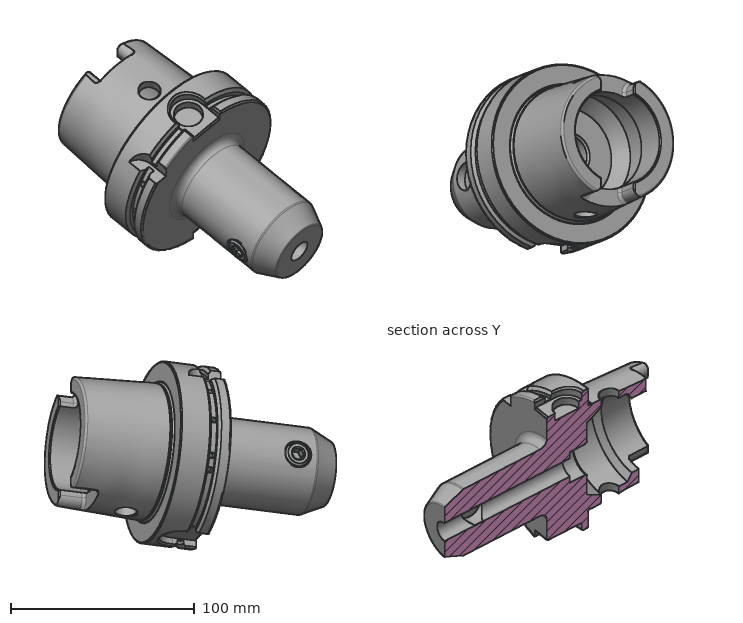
import cadquery as cq
import math


taper_length = 50.0
taper_front_radius = 35.4
taper_front_round = 1.3
neck_width = 2.2
neck_radius = 37.3
neck_front_x = -1.6
neck_back_x = -0.8
neck_start_radius = 37.7
face_relief_depth = 0.4
face_relief_deepest_radius = 38.4
face_relief_radius = 39.0

flange_radius = 50.0
flange_width = 29.0
flange_chamfer = 0.7
flange_rear_round = 0.9
groove_centre = 19.85
groove_mouth_half = 3.35
groove_floor_half = 1.85
groove_wall_radius = 48.0
groove_floor_radius = 46.0

tip_x = 100.0
shaft_radius = 24.0
shaft_root_radius = 4.7
nose_start_x = 87.0
nose_angle = 25.0
nose_edge_round = 0.8
nose_corner_round = 2.0

mouth_radius = 26.5
mouth_chamfer = 0.7
lip_end_x = -30.0
undercut_radius = 31.5
undercut_cone_angle = 60.0
undercut_end_x = -9.3
cavity_floor_radius = 25.6
cavity_floor_cone_angle = 30.0
seat_radius = 10.8
seat_chamfer = 1.2
seat_depth = 12.0
through_radius = 6.3

slot_half_width = 10.0
slot_corner_radius = 5.0
slot_shoulder = 32.4
slot_floor_round = 1.8
slot_edge_chamfer = 0.8
upper_slot_depth = 10.0
lower_slot_depth = 15.0

cross_hole_x = -15.0
cross_hole_radius = 6.0
cross_hole_chamfer = 0.4

pocket_centre_x = 15.0
pocket_half_width = 10.2
pocket_edge_chamfer = 1.1
pocket_floor = 44.2
chip_hole_radius = 8.0
chip_hole_depth = 5.0

notch_cutter_radius = 10.0
notch_centre_x = 17.7
notch_floor_z = 31.5
notch_wall_y = -31.4

groove_hole_radius = 1.6
groove_hole_depth = 4.0
groove_hole_angles = (30.0, 5.0, -20.0, -30.0)

screw_x = 76.0
screw_radius = 7.0
screw_length = 16.0
screw_chamfer = 1.2
screw_rim_radius = 7.5
screw_rim_depth = 0.6
hex_across_flats = 6.0
hex_depth = 6.0
hex_lead_radius = 3.9
balance_hole_x = 74.8
balance_hole_radius = 7.8
balance_hole_depth = 5.0

overshoot = 2.0
selection_margin = 0.2


def revolve_about_x(outline):
    return outline.close().revolve(360, (0, 0, 0), (1, 0, 0))


def outer_body():
    nose_radius = shaft_radius - (tip_x - nose_start_x) * math.tan(math.radians(nose_angle))
    outline = (
        cq.Workplane("XY")
        .moveTo(-taper_length, 0)
        .lineTo(-taper_length, taper_front_radius)
        .lineTo(-neck_width, neck_start_radius)
        .lineTo(neck_front_x, neck_radius)
        .lineTo(neck_back_x, neck_radius)
        .lineTo(face_relief_depth, face_relief_deepest_radius)
        .lineTo(0, face_relief_radius)
        .lineTo(0, flange_radius - flange_chamfer)
        .lineTo(flange_chamfer, flange_radius)
        .lineTo(groove_centre - groove_mouth_half, flange_radius)
        .lineTo(groove_centre - groove_floor_half, groove_wall_radius)
        .lineTo(groove_centre - groove_floor_half, groove_floor_radius)
        .lineTo(groove_centre + groove_floor_half, groove_floor_radius)
        .lineTo(groove_centre + groove_floor_half, groove_wall_radius)
        .lineTo(groove_centre + groove_mouth_half, flange_radius)
        .lineTo(flange_width - flange_rear_round, flange_radius)
        .radiusArc((flange_width, flange_radius - flange_rear_round), flange_rear_round)
        .lineTo(flange_width, shaft_radius + shaft_root_radius)
        .radiusArc((flange_width + shaft_root_radius, shaft_radius), -shaft_root_radius)
        .lineTo(nose_start_x, shaft_radius)
        .lineTo(tip_x, nose_radius)
        .lineTo(tip_x, 0)
    )
    body = revolve_about_x(outline)
    body = body.faces("<X").edges().fillet(taper_front_round)
    body = body.faces(">X").edges().fillet(nose_edge_round)
    corner = cq.selectors.BoxSelector(
        (nose_start_x - selection_margin, -flange_radius, -flange_radius),
        (nose_start_x + selection_margin, flange_radius, flange_radius),
    )
    return body.edges(corner).edges("%CIRCLE").fillet(nose_corner_round)


def inner_cavity():
    undercut_cone = (undercut_radius - mouth_radius) / math.tan(math.radians(undercut_cone_angle))
    floor_cone = (undercut_radius - cavity_floor_radius) / math.tan(math.radians(cavity_floor_cone_angle))
    cavity_floor_x = undercut_end_x + floor_cone
    seat_end_x = cavity_floor_x + seat_depth
    outline = (
        cq.Workplane("XY")
        .moveTo(-taper_length, 0)
        .lineTo(-taper_length, mouth_radius + mouth_chamfer)
        .lineTo(-taper_length + mouth_chamfer, mouth_radius)
        .lineTo(lip_end_x, mouth_radius)
        .lineTo(lip_end_x + undercut_cone, undercut_radius)
        .lineTo(undercut_end_x, undercut_radius)
        .lineTo(cavity_floor_x, cavity_floor_radius)
        .lineTo(cavity_floor_x, seat_radius + seat_chamfer)
        .lineTo(cavity_floor_x + seat_chamfer, seat_radius)
        .lineTo(seat_end_x, seat_radius)
        .lineTo(seat_end_x, through_radius)
        .lineTo(tip_x, through_radius)
        .lineTo(tip_x, 0)
    )
    return revolve_about_x(outline)


def drive_slot(depth):
    """Slot on the +Z side of the taper mouth, flaring outwards through rounded corners."""
    corner_z = slot_shoulder - slot_corner_radius
    flare_half = slot_half_width + slot_corner_radius
    slot = (
        cq.Workplane("YZ", origin=(-taper_length, 0, 0))
        .moveTo(-slot_half_width, 0)
        .lineTo(-slot_half_width, corner_z)
        .radiusArc((-flare_half, slot_shoulder), -slot_corner_radius)
        .lineTo(-flare_half, flange_radius)
        .lineTo(flare_half, flange_radius)
        .lineTo(flare_half, slot_shoulder)
        .radiusArc((slot_half_width, corner_z), -slot_corner_radius)
        .lineTo(slot_half_width, 0)
        .close()
        .extrude(depth)
    )
    slot = slot.faces(">X").edges("not(<Z or >Z)").fillet(slot_floor_round)
    edge_half = slot_half_width + slot_edge_chamfer
    edge_break = (
        cq.Workplane("XY", origin=(-taper_length, 0, 0))
        .moveTo(0, -edge_half)
        .lineTo(0, edge_half)
        .lineTo(slot_edge_chamfer, slot_half_width)
        .lineTo(slot_edge_chamfer, -slot_half_width)
        .close()
        .extrude(slot_shoulder)
    )
    return slot.union(edge_break)


def cross_hole():
    hole = cq.Workplane("XY").circle(cross_hole_radius).extrude(flange_radius, both=True)
    taper_slope = (neck_start_radius - taper_front_radius) / (taper_length - neck_width)
    surface_z = taper_front_radius + (taper_length + cross_hole_x) * taper_slope
    rim_height = 2 * cross_hole_chamfer
    for side in (1, -1):
        rim = cq.Workplane("XY").add(
            cq.Solid.makeCone(
                cross_hole_radius,
                cross_hole_radius + rim_height,
                rim_height,
                cq.Vector(0, 0, side * (surface_z - cross_hole_chamfer)),
                cq.Vector(0, 0, side),
            )
        )
        hole = hole.union(rim)
    return hole.translate((cross_hole_x, 0, 0))


def u_shape(half_width, z):
    """Closed outline of a pocket: a half circle facing -X, straight sides running past the flange."""
    end_x = flange_width + overshoot
    return (
        cq.Workplane("XY", origin=(0, 0, z))
        .moveTo(pocket_centre_x, half_width)
        .lineTo(end_x, half_width)
        .lineTo(end_x, -half_width)
        .lineTo(pocket_centre_x, -half_width)
        .radiusArc((pocket_centre_x, half_width), half_width)
        .close()
    )


def drive_pocket():
    """Pocket on the +Z side of the flange, with bevels at the rear of its floor and on its rear rims."""
    pocket = u_shape(pocket_half_width, pocket_floor).extrude(flange_radius)
    floor_bevel = (
        cq.Workplane("XZ")
        .moveTo(flange_width - flange_rear_round, pocket_floor)
        .lineTo(flange_width, pocket_floor)
        .lineTo(flange_width, pocket_floor - flange_rear_round)
        .close()
        .extrude(pocket_half_width, both=True)
    )
    rim_half_width = pocket_half_width + pocket_edge_chamfer
    wall_z = math.sqrt(flange_radius**2 - pocket_half_width**2) - pocket_edge_chamfer
    rim_z = math.sqrt(flange_radius**2 - rim_half_width**2)
    rim_slope = (rim_z - wall_z) / pocket_edge_chamfer
    top_half_width = rim_half_width + pocket_edge_chamfer
    top_z = rim_z + rim_slope * pocket_edge_chamfer
    rear_rim_bevel = (
        cq.Workplane("YZ", origin=(groove_centre, 0, 0))
        .moveTo(-pocket_half_width, wall_z)
        .lineTo(-top_half_width, top_z)
        .lineTo(top_half_width, top_z)
        .lineTo(pocket_half_width, wall_z)
        .close()
        .extrude(flange_width + overshoot - groove_centre)
    )
    return pocket.union(floor_bevel).union(rear_rim_bevel)


def bevel_front_rims(body):
    """Bevel the edges where the pocket walls ahead of the groove meet the outside of the flange."""
    rim_z = math.sqrt(flange_radius**2 - pocket_half_width**2)
    half_width = pocket_half_width + selection_margin
    start_x = pocket_centre_x - half_width
    end_x = groove_centre - groove_mouth_half + selection_margin
    for side in (1, -1):
        low_z, high_z = sorted((side * (rim_z - selection_margin), side * (flange_radius + selection_margin)))
        rim = cq.selectors.BoxSelector((start_x, -half_width, low_z), (end_x, half_width, high_z))
        body = body.edges(rim).chamfer(pocket_edge_chamfer)
    return body


def chip_hole():
    return (
        cq.Workplane("XY", origin=(pocket_centre_x, 0, pocket_floor - chip_hole_depth))
        .circle(chip_hole_radius)
        .extrude(flange_radius)
    )


def orientation_notch():
    """Path of an end mill parallel to Z, running out of the flange towards +X."""
    end_x = flange_width + overshoot
    outer_y = -flange_radius - notch_cutter_radius
    centre_y = notch_wall_y - notch_cutter_radius
    return (
        cq.Workplane("XY", origin=(0, 0, notch_floor_z))
        .moveTo(notch_centre_x, notch_wall_y)
        .lineTo(end_x, notch_wall_y)
        .lineTo(end_x, outer_y)
        .lineTo(notch_centre_x - notch_cutter_radius, outer_y)
        .lineTo(notch_centre_x - notch_cutter_radius, centre_y)
        .radiusArc((notch_centre_x, notch_wall_y), notch_cutter_radius)
        .close()
        .extrude(flange_radius)
    )


def groove_hole(angle):
    """Radial hole in the groove floor; the angle is measured from -Y towards +Z."""
    hole = (
        cq.Workplane("XZ", origin=(groove_centre, -groove_floor_radius + groove_hole_depth, 0))
        .circle(groove_hole_radius)
        .extrude(groove_hole_depth + overshoot)
    )
    return hole.rotate((0, 0, 0), (1, 0, 0), -angle)


def screw_hole():
    """Hole from the -Y side of the shaft into the axial bore, with a shallow wider rim."""
    rim_y = -math.sqrt(shaft_radius**2 - screw_rim_radius**2) + screw_rim_depth
    hole = (
        cq.Workplane("XZ", origin=(screw_x, 0, 0))
        .circle(screw_radius)
        .extrude(shaft_radius)
    )
    rim = cq.Workplane("XZ", origin=(screw_x, rim_y, 0)).circle(screw_rim_radius).extrude(shaft_radius)
    return hole.union(rim)


def balance_hole():
    return (
        cq.Workplane("XZ", origin=(balance_hole_x, shaft_radius - balance_hole_depth, 0))
        .circle(balance_hole_radius)
        .extrude(-(balance_hole_depth + overshoot))
    )


def make_holder():
    holder = outer_body().cut(inner_cavity())
    holder = holder.cut(drive_slot(upper_slot_depth))
    holder = holder.cut(drive_slot(lower_slot_depth).mirror("XY"))
    holder = holder.cut(cross_hole())
    holder = holder.cut(drive_pocket())
    holder = holder.cut(drive_pocket().mirror("XY"))
    holder = bevel_front_rims(holder)
    holder = holder.cut(chip_hole())
    holder = holder.cut(orientation_notch())
    for angle in groove_hole_angles:
        holder = holder.cut(groove_hole(angle))
    return holder.cut(screw_hole()).cut(balance_hole())


def make_clamping_screw():
    screw = (
        cq.Workplane("XZ", origin=(screw_x, -shaft_radius + screw_length, 0))
        .circle(screw_radius)
        .extrude(screw_length)
        .faces("<Y")
        .chamfer(screw_chamfer)
    )
    hex_corner_radius = hex_across_flats / math.sqrt(3)
    socket = (
        cq.Workplane("XZ", origin=(screw_x, -shaft_radius + hex_depth, 0))
        .polygon(6, 2 * hex_corner_radius)
        .extrude(hex_depth)
    )
    lead = cq.Solid.makeCone(
        hex_lead_radius,
        0,
        hex_lead_radius,
        cq.Vector(screw_x, -shaft_radius, 0),
        cq.Vector(0, 1, 0),
    )
    return screw.cut(socket).cut(cq.Workplane("XY").add(lead))


holder = make_holder().solids()
clamping_screw = make_clamping_screw().solids()

result = cq.Compound.makeCompound([holder.val(), clamping_screw.val()])